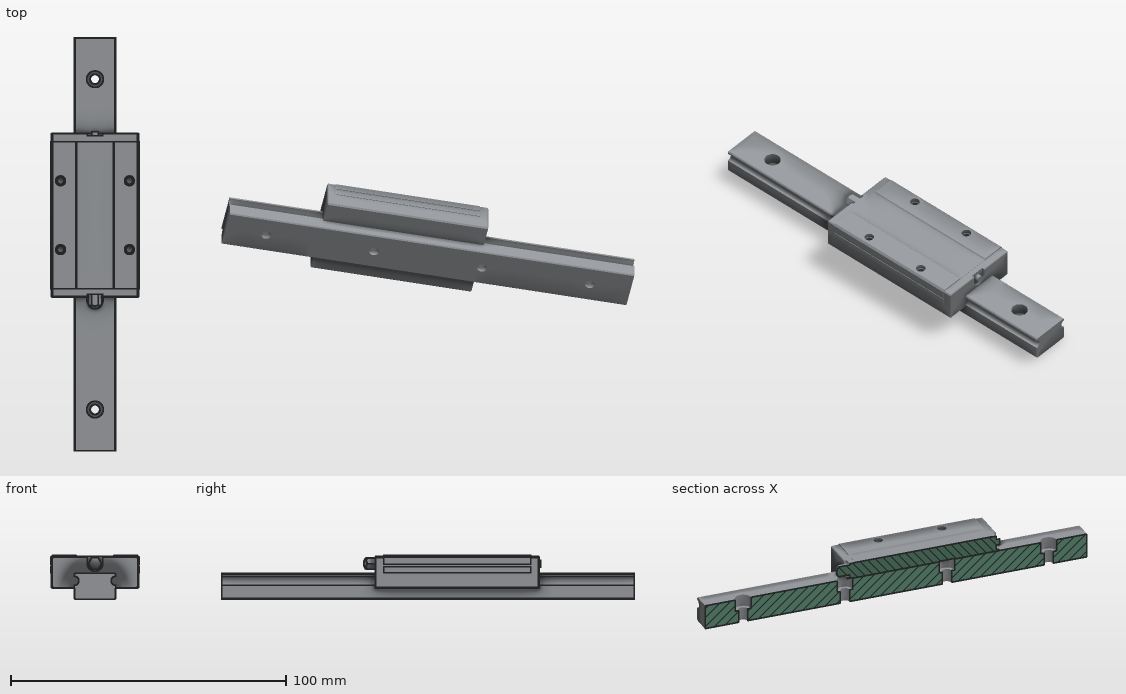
import cadquery as cq
import math

rail_length = 150.0
rail_width = 15.0
rail_height = 9.5
rail_edge_chamfer = 0.4
ball_groove_radius = 1.65
ball_groove_height = 6.75

rail_hole_count = 4
rail_hole_pitch = 40.0
rail_hole_diameter = 3.5
rail_counterbore_diameter = 6.0
rail_counterbore_depth = 4.5

carriage_centre_y = 10.6
carriage_bottom = 4.0
shell_length = 59.6
shell_width = 31.64
shell_top = 15.6
shell_lower_chamfer = 0.5
shell_upper_chamfer = 0.4
shell_end_chamfer = 0.3
block_length = 53.4
block_width = 32.0
block_bottom = 9.75
block_top = 16.0
block_upper_chamfer = 0.7

channel_top_width = 13.9
channel_depth = 0.3
channel_floor_width = channel_top_width - 2 * channel_depth

side_groove_height = 12.3
side_groove_width = 0.9
side_groove_depth = 0.3

mount_hole_spacing = 25.0
mount_hole_diameter = 2.5
mount_hole_mouth_diameter = 3.5
mount_hole_mouth_depth = 1.5
mount_hole_depth = 3.0
mount_hole_point_depth = 0.7

port_height = 13.0
port_diameter = 5.6
port_depth = 1.0

nipple_across_flats = 4.2
nipple_projection = 4.2
nipple_dome_radius = 2.7
plug_diameter = 2.5
plug_projection = 0.5

shell_front_y = carriage_centre_y - shell_length / 2
shell_rear_y = carriage_centre_y + shell_length / 2


def box(width, length, bottom, top, centre_y):
    """Box centred on X, between two heights."""
    base = cq.Workplane("XY", origin=(0, centre_y, bottom))
    return base.rect(width, length).extrude(top - bottom)


def rod_along_y(diameter, start_y, length, x, z):
    """Round rod that runs toward +Y from start_y."""
    end = cq.Workplane("XZ", origin=(x, start_y, z))
    return end.circle(diameter / 2).extrude(-length)


def make_rail_bar():
    """Rail without its mounting holes."""
    bar = box(rail_width, rail_length, 0, rail_height, 0)
    bar = bar.edges("|Y").chamfer(rail_edge_chamfer)
    for side in (-1, 1):
        groove_x = side * rail_width / 2
        bar = bar.cut(rod_along_y(2 * ball_groove_radius, -rail_length / 2, rail_length,
                                  groove_x, ball_groove_height))
    return bar


def make_rail():
    first_hole_y = -rail_hole_pitch * (rail_hole_count - 1) / 2
    hole_points = [(0, first_hole_y + i * rail_hole_pitch) for i in range(rail_hole_count)]
    top = make_rail_bar().faces(">Z").workplane(origin=(0, 0, rail_height))
    return top.pushPoints(hole_points).cboreHole(
        rail_hole_diameter, rail_counterbore_diameter, rail_counterbore_depth)


def make_block():
    """Proud upper block with its top channel and side grooves."""
    block = box(block_width, block_length, block_bottom, block_top, carriage_centre_y)
    block = block.edges("|Y and >Z").chamfer(block_upper_chamfer)

    block_rear = cq.Workplane("XZ", origin=(0, carriage_centre_y + block_length / 2, block_top))
    channel = (
        block_rear.moveTo(-channel_top_width / 2, 0)
        .lineTo(-channel_floor_width / 2, -channel_depth)
        .lineTo(channel_floor_width / 2, -channel_depth)
        .lineTo(channel_top_width / 2, 0)
        .close()
        .extrude(block_length)
    )
    block = block.cut(channel)

    for side in (-1, 1):
        groove = box(2 * side_groove_depth, block_length,
                     side_groove_height - side_groove_width / 2,
                     side_groove_height + side_groove_width / 2, carriage_centre_y)
        block = block.cut(groove.translate((side * block_width / 2, 0, 0)))
    return block


def make_mount_holes():
    """Blind holes with a wider mouth and a conical drill point."""
    bore_radius = mount_hole_diameter / 2
    mouth_radius = mount_hole_mouth_diameter / 2
    hole = (
        cq.Workplane("XZ")
        .lineTo(mouth_radius, 0)
        .lineTo(mouth_radius, -mount_hole_mouth_depth)
        .lineTo(bore_radius, -mount_hole_mouth_depth)
        .lineTo(bore_radius, -mount_hole_depth)
        .lineTo(0, -mount_hole_depth - mount_hole_point_depth)
        .close()
        .revolve(360, (0, 0, 0), (0, 1, 0))
        .val()
    )
    top = cq.Workplane("XY", origin=(0, carriage_centre_y, block_top))
    grid = top.rarray(mount_hole_spacing, mount_hole_spacing, 2, 2)
    return grid.eachpoint(lambda place: hole.moved(place))


def make_port(start_y):
    round_end = rod_along_y(port_diameter, start_y, port_depth, 0, port_height)
    opening = box(port_diameter, port_depth, port_height, block_top, start_y + port_depth / 2)
    return round_end.union(opening)


def make_nipple():
    """Hexagonal nipple that points toward -Y, its end rounded to a spherical dome."""
    across_corners = nipple_across_flats / math.cos(math.pi / 6)
    port_floor = cq.Workplane("XZ", origin=(0, shell_front_y + port_depth, port_height))
    hexagon = port_floor.polygon(6, across_corners).extrude(port_depth + nipple_projection)

    dome_centre_y = shell_front_y - nipple_projection + nipple_dome_radius
    dome = cq.Workplane("XY", origin=(0, dome_centre_y, port_height)).sphere(nipple_dome_radius)
    shank_length = shell_front_y + port_depth - dome_centre_y
    shank = rod_along_y(2 * nipple_dome_radius, dome_centre_y, shank_length, 0, port_height)
    return hexagon.intersect(dome.union(shank))


def make_carriage():
    shell = box(shell_width, shell_length, carriage_bottom, shell_top, carriage_centre_y)
    shell = shell.edges("|Y and <Z").chamfer(shell_lower_chamfer)
    shell = shell.edges("|Y and >Z").chamfer(shell_upper_chamfer)
    shell = shell.faces("<Y or >Y").chamfer(shell_end_chamfer)
    carriage = shell.union(make_block())
    carriage = carriage.cut(make_rail_bar())
    carriage = carriage.cut(make_mount_holes())
    carriage = carriage.cut(make_port(shell_front_y))
    carriage = carriage.cut(make_port(shell_rear_y - port_depth))
    plug = rod_along_y(plug_diameter, shell_rear_y - port_depth, port_depth + plug_projection,
                       0, port_height)
    return carriage.union(make_nipple()).union(plug)


rail = make_rail()
carriage = make_carriage()
result = cq.Compound.makeCompound([rail.val(), carriage.val()])